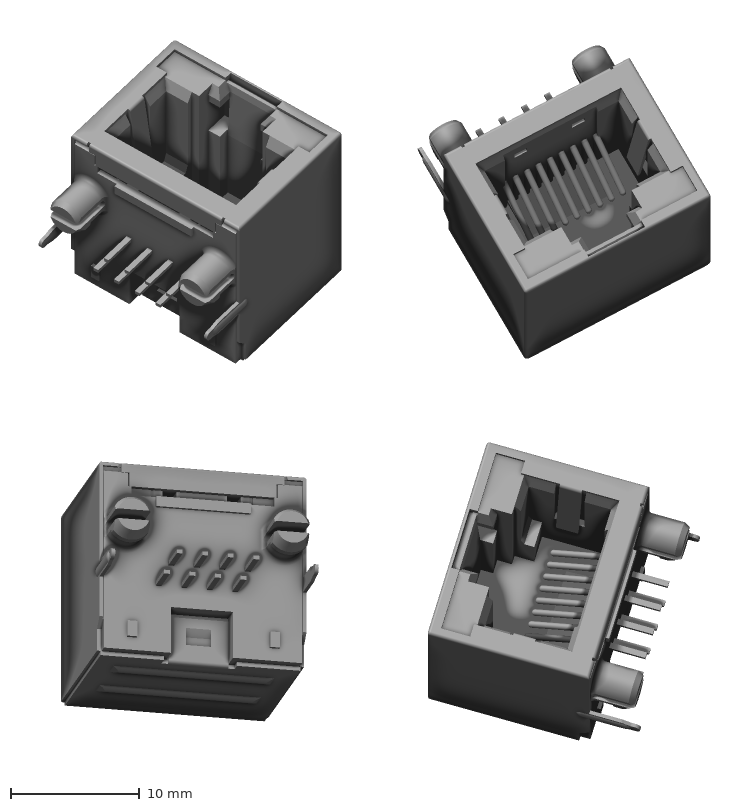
import cadquery as cq

SHEET = 0.3
SHELL_WIDTH = 16.53
SHELL_DEPTH = 13.13
SHELL_HEIGHT = 15.7
HALF_SHELL = SHELL_WIDTH / 2
HALF_BODY = HALF_SHELL - SHEET
BODY_BOTTOM = 0.33
BODY_TOP = SHELL_HEIGHT - SHEET
FLOOR_PLATE_FRONT = 0.86
BEND_RADIUS = 0.25
SEAM_WIDTH = 0.07
SEAM_DEPTH = 0.17
CORNER_CUT_DEPTH = 0.81
CORNER_CUT_LOW = 2.12
CORNER_CUT_HIGH = 2.9

CAVITY_FLOOR = 3.45
LEAD_IN = 0.52
LEAD_IN_DEPTH = 0.86
MOUTH_HALF = 6.47
MOUTH_FRONT = 1.9
MOUTH_BACK = 9.6
BORE_HALF = MOUTH_HALF - LEAD_IN
BORE_FRONT = MOUTH_FRONT + LEAD_IN
BORE_BACK = MOUTH_BACK - LEAD_IN
KEYWAY_HALF = 3.83
KEYWAY_BACK = MOUTH_BACK
LATCH_HALF = 3.12
LATCH_LEDGE = 10.8
LATCH_SLOT_HALF = 2.0
LATCH_SLOT_BACK = 11.8
LATCH_SLOT_DRAFT = 0.31
LATCH_SLOT_LIP = 0.19
LATCH_DRAFT_END = 9.94
LATCH_WINDOW_LOW = 10.55
LATCH_WINDOW_HIGH = 13.83
LATCH_WINDOW_BACK = SHELL_DEPTH - SHEET
WINDOW_HALF = 7.52
WINDOW_STEP = 9.85
WINDOW_BACK = 12.2
BACK_NOTCH_HALF = 2.52
BACK_NOTCH_Z = 15.18
BACK_NOTCH_FLAT = 12.52
BACK_NOTCH_RIM = 12.85
BACK_NOTCH_DROP = 0.33

FINGER_Y = 5.8
FINGER_WIDTH = 1.78
FINGER_SLOT_WIDTH = 2.47
FINGER_BEND_X = 6.21
FINGER_TIP_X = 5.28
FINGER_TIP_Z = 8.62
FINGER_THICKNESS = 0.22

CONTACT_COUNT = 9
PIN_COUNT = 8
CONTACT_PITCH = 1.02
CONTACT_RADIUS = 0.26
CONTACT_ROOT_Y = 2.14
CONTACT_BEND_Z = 8.62
CONTACT_TIP_Y = 6.5
CONTACT_TIP_Z = 6.04
COMB_WIDTH = 8.28
COMB_FRONT = 2.12
RAMP_WIDTH = 7.52
RAMP_BACK = 5.4
RAMP_HEIGHT = 0.52
REST_FRONT = 8.0
REST_SLOPE_FRONT = 8.81
REST_Z = 6.9
REST_SLOPE_RISE = 0.69
PIN_WIDTH = 0.47
PIN_HEIGHT = 0.31
PIN_LENGTH = 2.93
PIN_ROW_HIGH = 7.68
PIN_ROW_LOW = 5.92

POST_X = 6.35
POST_Z = 10.23
POST_RADIUS = 1.59
POST_HALF_WIDTH = 1.4
POST_LENGTH = 3.48
POST_TIP_RADIUS = 1.3
POST_TIP_TAPER = 0.45
POST_FLARE = 0.4
POST_SLOT = 0.8
POST_SLOT_FLOOR = 0.1
POST_SLOT_FILLET = 0.35
BARB_RADIUS = 1.75
BARB_START = 1.76
BARB_CREST = 1.86
BARB_END = 2.48
TAB_HALF = 5.86
TAB_BOTTOM = 13.78
TAB_SIDE_GAP = 0.1
TAB_TOP_GAP = 0.03
SLOT_HALF = 5.7
SLOT_BOTTOM = 13.05
SLOT_DEPTH = 0.45
SLOT_GROOVE_INNER = 3.83
SLOT_GROOVE_OUTER = 4.09
SLOT_GROOVE_DEPTH = 0.52
RELIEF_INNER = 6.49
RELIEF_BOTTOM = 14.9
RELIEF_TOP = 15.35
RELIEF_DEPTH = 0.3
RELIEF_RISE = 0.15
STANDOFF = 0.3
BAR_WIDTH = 7.55
BAR_BOTTOM = 12.23
BAR_TOP = SLOT_BOTTOM
FOOT_X = 5.7
FOOT_WIDTH = 0.78
FOOT_BOTTOM = 1.36
FOOT_TOP = 2.64

NOTCH_LEFT = -2.54
NOTCH_RIGHT = 2.4
NOTCH_TOP = 4.1
FLAP_LEFT = -2.4
FLAP_TOP = 3.81
FLAP_Y = 1.48
FLAP_GAP = 0.17
FLAP_NICK_X = 2.92
FLAP_WINDOW_WIDTH = 2.0
FLAP_WINDOW_BOTTOM = 1.62
FLAP_WINDOW_MIDDLE = 2.35
FLAP_WINDOW_TOP = 3.02

LEG_Z = 6.78
LEG_HALF_ROOT = 0.6
LEG_HALF_TIP = 0.41
LEG_TAPER_START = 2.59
LEG_TAPER_END = 3.36
LEG_LENGTH = 4.12
BEAD_BACK = 1.05
BEAD_FRONT = -3.35
BEAD_WIDTH = 0.85
BEAD_HEIGHT = 0.15
RIB_YS = (3.73, 8.31)
RIB_CHORD = 1.36
RIB_RISE = 0.22
RIB_LENGTH = 12.9
RIB_END_SLOPE = 0.53


def block(x0, x1, y0, y1, z0, z1):
    """Axis-aligned box between two opposite corners."""
    return cq.Workplane("XY").box(x1 - x0, y1 - y0, z1 - z0, centered=False).translate((x0, y0, z0))


def wide_block(half, y0, y1, z0, z1):
    """Box centred on X = 0."""
    return block(-half, half, y0, y1, z0, z1)


def both_sides(solid):
    """A solid together with its mirror image across X = 0."""
    return solid.union(solid.mirror("YZ"))


def arc_radius(chord, rise):
    """Radius of the arc that spans a chord and bulges by the rise."""
    return (chord ** 2 / 4 + rise ** 2) / (2 * rise)


def lead_in(bore_half, mouth_half, bore_front, mouth_front, bore_back, mouth_back):
    """Tapered entry that widens from the bore up to the top of the body."""
    bore_depth = bore_back - bore_front
    mouth_depth = mouth_back - mouth_front
    return (
        cq.Workplane("XY", origin=(0, (bore_front + bore_back) / 2, BODY_TOP - LEAD_IN_DEPTH))
        .rect(2 * bore_half, bore_depth)
        .workplane(offset=LEAD_IN_DEPTH)
        .center(0, (mouth_front + mouth_back - bore_front - bore_back) / 2)
        .rect(2 * mouth_half, mouth_depth)
        .loft(combine=True)
    )


def housing():
    """Shield box filled by the plastic body, with bent outer edges."""
    box = wide_block(HALF_SHELL, 0, SHELL_DEPTH, BODY_BOTTOM, SHELL_HEIGHT)
    box = box.edges(">Z or (>Y and |Z)").fillet(BEND_RADIUS)
    floor_plate = wide_block(HALF_BODY, FLOOR_PLATE_FRONT, SHELL_DEPTH, 0, BODY_BOTTOM)
    floor_plate = floor_plate.edges(">Y and <Z").fillet(BEND_RADIUS)
    return box.union(floor_plate)


def shield_window():
    """Stepped window in the top sheet."""
    z0, z1 = BODY_TOP, SHELL_HEIGHT
    cut = wide_block(MOUTH_HALF, MOUTH_FRONT, WINDOW_STEP, z0, z1)
    cut = cut.union(wide_block(WINDOW_HALF, WINDOW_STEP, WINDOW_BACK, z0, z1))
    notch = (
        cq.Workplane("YZ", origin=(-BACK_NOTCH_HALF, 0, 0))
        .polyline([
            (WINDOW_BACK, BACK_NOTCH_Z),
            (BACK_NOTCH_FLAT, BACK_NOTCH_Z),
            (BACK_NOTCH_RIM, BACK_NOTCH_Z - BACK_NOTCH_DROP),
            (BACK_NOTCH_RIM, SHELL_HEIGHT),
            (WINDOW_BACK, SHELL_HEIGHT),
        ])
        .close()
        .extrude(2 * BACK_NOTCH_HALF)
    )
    return cut.union(notch)


def plug_cavity():
    """Plug bore, keyway and latch slot with their tapered entries."""
    z0, z1 = CAVITY_FLOOR, BODY_TOP
    cut = wide_block(BORE_HALF, BORE_FRONT, BORE_BACK, z0, z1)
    cut = cut.union(lead_in(BORE_HALF, MOUTH_HALF, BORE_FRONT, MOUTH_FRONT, BORE_BACK, MOUTH_BACK))
    cut = cut.union(wide_block(KEYWAY_HALF, BORE_FRONT, KEYWAY_BACK, z0, z1))
    cut = cut.union(wide_block(LATCH_HALF, BORE_FRONT, LATCH_LEDGE, z0, z1))
    cut = cut.union(lead_in(LATCH_HALF, LATCH_HALF, BORE_FRONT, BORE_FRONT,
                            LATCH_LEDGE, LATCH_LEDGE + LEAD_IN))
    cut = cut.union(wide_block(LATCH_SLOT_HALF, BORE_FRONT, LATCH_SLOT_BACK, z0, z1))
    draft_back = LATCH_SLOT_BACK + LATCH_SLOT_DRAFT
    cut = cut.union(lead_in(LATCH_SLOT_HALF, LATCH_SLOT_HALF + LEAD_IN, BORE_FRONT, BORE_FRONT,
                            draft_back, draft_back + LATCH_SLOT_LIP))
    drafted_wall = (
        cq.Workplane("YZ", origin=(-LATCH_SLOT_HALF, 0, 0))
        .polyline([
            (LATCH_LEDGE, LATCH_DRAFT_END),
            (LATCH_SLOT_BACK, LATCH_DRAFT_END),
            (draft_back, BODY_TOP - LEAD_IN_DEPTH),
            (LATCH_LEDGE, BODY_TOP - LEAD_IN_DEPTH),
        ])
        .close()
        .extrude(2 * LATCH_SLOT_HALF)
    )
    cut = cut.union(drafted_wall)
    cut = cut.union(wide_block(COMB_WIDTH / 2, COMB_FRONT, BORE_FRONT, z0, z1))
    return cut.union(both_sides(block(LATCH_SLOT_HALF, LATCH_HALF, LATCH_LEDGE, LATCH_WINDOW_BACK,
                                      LATCH_WINDOW_LOW, LATCH_WINDOW_HIGH)))


def finger_slots():
    """Recesses in the bore walls behind the spring fingers."""
    half = FINGER_SLOT_WIDTH / 2
    return both_sides(block(FINGER_TIP_X, MOUTH_HALF, FINGER_Y - half, FINGER_Y + half,
                            FINGER_TIP_Z, BODY_TOP))


def spring_fingers():
    """Shield strips bent down and inward at both sides of the opening."""
    bend = MOUTH_HALF - FINGER_BEND_X
    finger = (
        cq.Workplane("XZ", origin=(0, FINGER_Y + FINGER_WIDTH / 2, 0))
        .moveTo(MOUTH_HALF + SHEET, SHELL_HEIGHT)
        .lineTo(MOUTH_HALF, SHELL_HEIGHT)
        .radiusArc((FINGER_BEND_X, SHELL_HEIGHT - bend), -bend)
        .lineTo(FINGER_TIP_X, FINGER_TIP_Z)
        .lineTo(FINGER_TIP_X + FINGER_THICKNESS, FINGER_TIP_Z)
        .lineTo(MOUTH_HALF, BODY_TOP - LEAD_IN_DEPTH)
        .lineTo(MOUTH_HALF + SHEET, BODY_TOP - LEAD_IN_DEPTH)
        .close()
        .extrude(FINGER_WIDTH)
    )
    return both_sides(finger)


def cavity_rests():
    """Plug stops in the two rear corners of the bore."""
    rest = (
        cq.Workplane("YZ", origin=(KEYWAY_HALF, 0, 0))
        .moveTo(REST_FRONT, CAVITY_FLOOR)
        .lineTo(REST_FRONT, REST_Z)
        .lineTo(REST_SLOPE_FRONT, REST_Z)
        .lineTo(BORE_BACK, REST_Z + REST_SLOPE_RISE)
        .lineTo(BORE_BACK, CAVITY_FLOOR)
        .close()
        .extrude(BORE_HALF - KEYWAY_HALF)
    )
    return both_sides(rest)


def contacts():
    """Round contact wires that rise along the wall and slope down over a low ramp."""
    foot = cq.Vector(0, CONTACT_ROOT_Y, CAVITY_FLOOR)
    bend = cq.Vector(0, CONTACT_ROOT_Y, CONTACT_BEND_Z)
    tip = cq.Vector(0, CONTACT_TIP_Y, CONTACT_TIP_Z)
    wire = cq.Workplane("XY")
    for start, end in ((foot, bend), (bend, tip)):
        run = end - start
        wire = wire.union(cq.Workplane(cq.Solid.makeCylinder(CONTACT_RADIUS, run.Length, start, run)))
        wire = wire.union(cq.Workplane("XY").sphere(CONTACT_RADIUS).translate(end))
    group = (
        cq.Workplane("YZ", origin=(-RAMP_WIDTH / 2, 0, 0))
        .polyline([
            (COMB_FRONT, CAVITY_FLOOR),
            (RAMP_BACK, CAVITY_FLOOR),
            (COMB_FRONT, CAVITY_FLOOR + RAMP_HEIGHT),
        ])
        .close()
        .extrude(RAMP_WIDTH)
    )
    for i in range(CONTACT_COUNT):
        x = (i - (CONTACT_COUNT - 1) / 2) * CONTACT_PITCH
        group = group.union(wire.translate((x, 0, 0)))
    return group


def solder_pins():
    """Two staggered rows of square pins."""
    pins = cq.Workplane("XY")
    for i in range(PIN_COUNT):
        x = (i - (PIN_COUNT - 1) / 2) * CONTACT_PITCH
        z = PIN_ROW_LOW if i % 2 == 0 else PIN_ROW_HIGH
        pins = pins.union(block(x - PIN_WIDTH / 2, x + PIN_WIDTH / 2, -PIN_LENGTH, SHEET,
                                z - PIN_HEIGHT / 2, z + PIN_HEIGHT / 2))
    return pins


def post_shaft(outline):
    """Shaft turned about the post axis from (radius, distance) points, with flat sides."""
    turned = cq.Workplane("XY").polyline(outline).close().revolve(360, (0, 0, 0), (0, 1, 0))
    return turned.intersect(block(-POST_HALF_WIDTH, POST_HALF_WIDTH, -POST_LENGTH, SHEET,
                                  -BARB_RADIUS, BARB_RADIUS))


def board_posts():
    """Split locating posts: plain upper half, barbed lower half, flared root."""
    upper = post_shaft([
        (0, SHEET),
        (POST_RADIUS, SHEET),
        (POST_RADIUS, POST_TIP_TAPER - POST_LENGTH),
        (POST_TIP_RADIUS, -POST_LENGTH),
        (0, -POST_LENGTH),
    ])
    lower = post_shaft([
        (0, SHEET),
        (POST_RADIUS, SHEET),
        (POST_RADIUS, -BARB_START),
        (BARB_RADIUS, -BARB_CREST),
        (BARB_RADIUS, -BARB_END),
        (POST_TIP_RADIUS, -POST_LENGTH),
        (0, -POST_LENGTH),
    ])
    reach = 2 * POST_RADIUS
    upper = upper.intersect(block(-reach, reach, -POST_LENGTH, SHEET, 0, reach))
    lower = lower.intersect(block(-reach, reach, -POST_LENGTH, SHEET, -reach, 0))
    root_core = post_shaft([
        (0, 0),
        (POST_RADIUS, 0),
        (POST_RADIUS, -2 * POST_FLARE),
        (0, -2 * POST_FLARE),
    ])
    pad = POST_RADIUS + 2 * POST_FLARE
    root = block(-pad, pad, 0, SHEET, -pad, pad).union(root_core)
    root = root.edges(cq.selectors.BoxSelector((-BARB_RADIUS, -SEAM_WIDTH, -BARB_RADIUS),
                                               (BARB_RADIUS, SEAM_WIDTH, BARB_RADIUS)))
    root = root.fillet(POST_FLARE)
    slot = block(-reach, reach, -POST_LENGTH, -POST_SLOT_FLOOR, -POST_SLOT / 2, POST_SLOT / 2)
    slot = slot.edges(">Y and |X").fillet(POST_SLOT_FILLET)
    post = upper.union(lower).union(root).cut(slot).translate((POST_X, 0, POST_Z))
    inside_body = block(0, HALF_BODY - SEAM_WIDTH, -POST_LENGTH, SHEET, 0, SHELL_HEIGHT)
    return both_sides(post.intersect(inside_body))


def standoffs():
    """Long bar and two small feet raised on the board-side face."""
    bar = wide_block(BAR_WIDTH / 2, -STANDOFF, SHEET, BAR_BOTTOM, BAR_TOP)
    foot = block(FOOT_X - FOOT_WIDTH / 2, FOOT_X + FOOT_WIDTH / 2, -STANDOFF, SHEET,
                 FOOT_BOTTOM, FOOT_TOP)
    return bar.union(both_sides(foot))


def front_recesses():
    """Gaps around the folded shield tab, the slot under it and the corner reliefs."""
    gap = block(TAB_HALF, TAB_HALF + TAB_SIDE_GAP, 0, SHEET, TAB_BOTTOM, RELIEF_BOTTOM)
    gap = gap.union(block(TAB_HALF, RELIEF_INNER, 0, SHEET, RELIEF_BOTTOM - TAB_TOP_GAP, RELIEF_BOTTOM))
    bend_nick = block(RELIEF_INNER, RELIEF_INNER + BEND_RADIUS, 0, BEND_RADIUS, RELIEF_TOP, SHELL_HEIGHT)
    slot = wide_block(SLOT_HALF, 0, SLOT_DEPTH, SLOT_BOTTOM, TAB_BOTTOM)
    groove = block(SLOT_GROOVE_INNER, SLOT_GROOVE_OUTER, 0, SLOT_GROOVE_DEPTH, SLOT_BOTTOM, TAB_BOTTOM)
    peephole = block(LATCH_SLOT_HALF, LATCH_HALF, 0, BORE_FRONT, SLOT_BOTTOM, TAB_BOTTOM)
    relief = (
        cq.Workplane("YZ", origin=(RELIEF_INNER, 0, 0))
        .polyline([
            (0, RELIEF_BOTTOM),
            (RELIEF_DEPTH, RELIEF_BOTTOM + RELIEF_RISE),
            (RELIEF_DEPTH, RELIEF_TOP),
            (0, RELIEF_TOP),
        ])
        .close()
        .extrude(HALF_BODY - RELIEF_INNER)
    )
    pair = gap.union(bend_nick).union(groove).union(peephole).union(relief)
    return slot.union(both_sides(pair))


def side_seams():
    """Narrow gaps between the plastic body and the shield sides."""
    return both_sides(block(HALF_BODY - SEAM_WIDTH, HALF_BODY, 0, SEAM_DEPTH, BODY_BOTTOM, RELIEF_TOP))


def shield_corner_cuts():
    """Lower front corners trimmed off the shield sides."""
    cut = (
        cq.Workplane("YZ", origin=(HALF_BODY - SEAM_WIDTH, 0, 0))
        .polyline([
            (0, BODY_BOTTOM),
            (CORNER_CUT_DEPTH, BODY_BOTTOM),
            (CORNER_CUT_DEPTH, CORNER_CUT_LOW),
            (0, CORNER_CUT_HIGH),
        ])
        .close()
        .extrude(SHEET + SEAM_WIDTH)
    )
    return both_sides(cut)


def flap_notch():
    """Notch that sets the flap back, the step around it and the latch pocket in the flap."""
    notch = block(FLAP_LEFT, NOTCH_RIGHT, 0, FLAP_Y, 0, FLAP_TOP)
    step = block(NOTCH_LEFT, NOTCH_RIGHT, 0, FLAP_Y + FLAP_GAP, BODY_BOTTOM, NOTCH_TOP)
    flap = block(FLAP_LEFT, NOTCH_RIGHT, FLAP_Y, FLAP_Y + FLAP_GAP, BODY_BOTTOM, FLAP_TOP)
    pocket = (
        cq.Workplane("YZ", origin=(-FLAP_WINDOW_WIDTH / 2, 0, 0))
        .polyline([
            (FLAP_Y, FLAP_WINDOW_BOTTOM),
            (FLAP_Y + SHEET, FLAP_WINDOW_BOTTOM),
            (FLAP_Y + SHEET, FLAP_WINDOW_MIDDLE),
            (FLAP_Y, FLAP_WINDOW_TOP),
        ])
        .close()
        .extrude(FLAP_WINDOW_WIDTH)
    )
    bend = (
        cq.Workplane("YZ", origin=(FLAP_LEFT, 0, 0))
        .moveTo(FLAP_Y, 0)
        .lineTo(FLAP_Y, SHEET)
        .radiusArc((FLAP_Y + SHEET, 0), -SHEET)
        .close()
        .extrude(NOTCH_RIGHT - FLAP_LEFT)
    )
    nicks = both_sides(block(NOTCH_RIGHT, FLAP_NICK_X, 0, FLAP_Y + FLAP_GAP, 0, BODY_BOTTOM))
    return notch.union(step.cut(flap)).union(pocket).union(bend).union(nicks)


def shield_legs():
    """Flat tapered legs on the shield sides, stiffened by a rounded bead."""
    leg = (
        cq.Workplane("YZ", origin=(HALF_BODY, 0, LEG_Z))
        .moveTo(SHEET, LEG_HALF_ROOT)
        .lineTo(-LEG_TAPER_START, LEG_HALF_ROOT)
        .lineTo(-LEG_TAPER_END, LEG_HALF_TIP)
        .lineTo(LEG_HALF_TIP - LEG_LENGTH, LEG_HALF_TIP)
        .threePointArc((-LEG_LENGTH, 0), (LEG_HALF_TIP - LEG_LENGTH, -LEG_HALF_TIP))
        .lineTo(-LEG_TAPER_END, -LEG_HALF_TIP)
        .lineTo(-LEG_TAPER_START, -LEG_HALF_ROOT)
        .lineTo(SHEET, -LEG_HALF_ROOT)
        .close()
        .extrude(SHEET)
    )
    radius = arc_radius(BEAD_WIDTH, BEAD_HEIGHT)
    axis_x = HALF_SHELL + BEAD_HEIGHT - radius
    end_inset = BEAD_WIDTH / 2
    length = BEAD_BACK - BEAD_FRONT - BEAD_WIDTH
    rod = (
        cq.Workplane("XZ", origin=(axis_x, BEAD_BACK - end_inset, LEG_Z))
        .circle(radius)
        .extrude(length)
    )
    for y in (BEAD_BACK - end_inset, BEAD_FRONT + end_inset):
        rod = rod.union(cq.Workplane("XY").sphere(radius).translate((axis_x, y, LEG_Z)))
    bead = rod.intersect(block(HALF_SHELL, HALF_SHELL + SHEET, BEAD_FRONT, BEAD_BACK, 0, SHELL_HEIGHT))
    return both_sides(leg.union(bead))


def bottom_ribs():
    """Shallow arched ribs across the underside, sloped down at both ends."""
    radius = arc_radius(RIB_CHORD, RIB_RISE)
    half = RIB_LENGTH / 2
    outline = (
        cq.Workplane("XZ", origin=(0, SHELL_DEPTH, 0))
        .polyline([
            (-half, 0),
            (RIB_END_SLOPE - half, -RIB_RISE),
            (half - RIB_END_SLOPE, -RIB_RISE),
            (half, 0),
            (half, SHEET),
            (-half, SHEET),
        ])
        .close()
        .extrude(SHELL_DEPTH)
    )
    ribs = cq.Workplane("XY")
    for y in RIB_YS:
        round_bar = (
            cq.Workplane("YZ", origin=(-half, y, radius - RIB_RISE))
            .circle(radius)
            .extrude(RIB_LENGTH)
        )
        ribs = ribs.union(round_bar.intersect(outline))
    return ribs


result = housing()
for opening in (shield_window(), plug_cavity(), finger_slots(), front_recesses(), side_seams(),
                shield_corner_cuts(), flap_notch()):
    result = result.cut(opening)
for addition in (spring_fingers(), cavity_rests(), contacts(), solder_pins(), board_posts(),
                 standoffs(), shield_legs(), bottom_ribs()):
    result = result.union(addition)